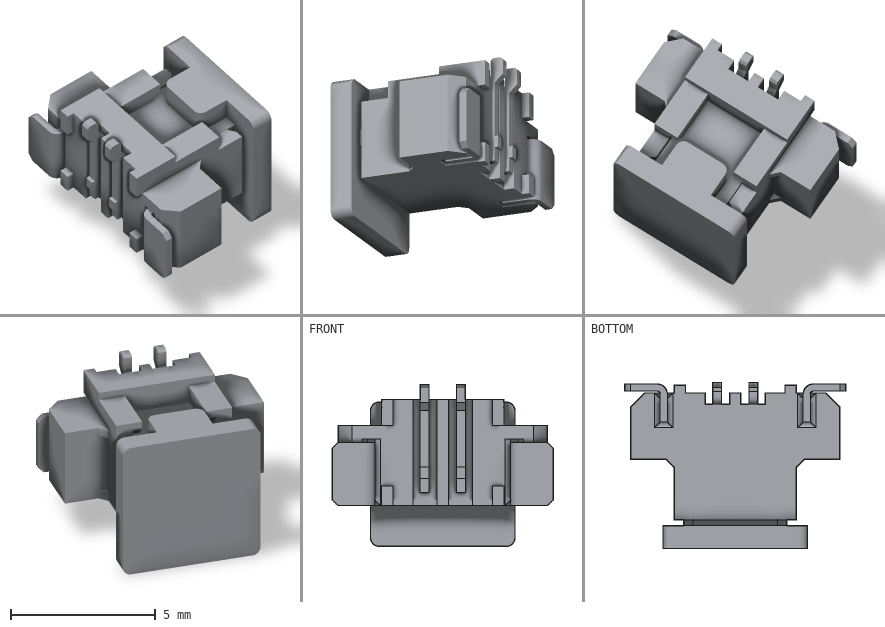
import cadquery as cq


overall_width = 7.65
overall_depth = 5.75

housing_half_width = 2.11
housing_front = 0.37
housing_back = 4.76
wall_top = 2.785
rail_top = 3.4
rail_back = 3.755
rail_inner = 1.16
rail_relief = 0.34
crown_top = 3.68
crown_back = 1.82

foot_width = 0.39
foot_front = 0.1
lower_foot_height = 0.69

slot_centre = 0.61
slot_width = 0.84
slot_back = 0.75

wing_half_width = 3.62
wing_back = 2.66
wing_chamfer = 0.48
gusset_size = 0.29
gusset_height = 0.305

tab_front = 0.05
tab_thickness = 0.25
tab_height = 2.195
tab_chamfer = 0.21
tab_leg_outer = 2.35
tab_bend_radius = 0.35
tab_slot_top = 2.3
tab_slot_flare = 0.19
tab_slot_back = 1.38

contact_centre = 0.63
contact_width = 0.31
contact_top = 4.19
contact_bottom = 0.45
tip_back = 0.47
tip_chamfer = 0.09
tip_underside = 3.57
leg_front = 0.31
leg_bend_bottom = 3.29
leg_bend_depth = 0.2
bump_front = 0.18
bump_bottom = 0.94
bump_top = 1.35

cap_width = 5.0
cap_thickness = 0.795
cap_bottom = -1.41
cap_top = 3.59
cap_radius = 0.3
cap_front = overall_depth - cap_thickness
tongue_half_width = 1.01
plug_half_width = 1.47
plug_bottom = 0.435
plug_top = 2.73
rib_half_width = 1.79
rib_bottom = 1.3
rib_top = 1.89

cavity_clearance = 0.045
cavity_half_width = plug_half_width + cavity_clearance
cavity_bottom = plug_bottom - cavity_clearance
mouth_half_width = 1.81
mouth_depth = 0.2


def box(x0, x1, y0, y1, z0, z1):
    """Box between opposite corners."""
    return cq.Workplane("XY").box(x1 - x0, y1 - y0, z1 - z0, centered=False).translate((x0, y0, z0))


def centred_box(half_width, y0, y1, z0, z1):
    """Box symmetric about X = 0."""
    return box(-half_width, half_width, y0, y1, z0, z1)


def plan_prism(points, z0, z1):
    """Prism with an XY outline."""
    return cq.Workplane("XY").workplane(offset=z0).polyline(points).close().extrude(z1 - z0)


def side_prism(points, x0, x1):
    """Prism along X with a YZ outline."""
    return cq.Workplane("YZ").workplane(offset=x0).polyline(points).close().extrude(x1 - x0)


def both_sides(solid):
    """The solid together with its mirror image across X = 0."""
    return solid.union(solid.mirror("YZ"))


def housing_shell():
    """Stepped housing: low back walls, side rails and a raised front crown."""
    profile = [
        (housing_front, 0),
        (housing_back, 0),
        (housing_back, wall_top),
        (rail_back, wall_top),
        (rail_back, rail_top),
        (crown_back, rail_top),
        (crown_back, crown_top),
        (housing_front, crown_top),
    ]
    return side_prism(profile, -housing_half_width, housing_half_width)


def cavity():
    """Plug cavity with a flared mouth, the gap between the rails and the relief under the rails."""
    plan = [
        (-cavity_half_width, crown_back),
        (cavity_half_width, crown_back),
        (cavity_half_width, housing_back - mouth_depth),
        (mouth_half_width, housing_back),
        (-mouth_half_width, housing_back),
        (-cavity_half_width, housing_back - mouth_depth),
    ]
    relief = [
        (rail_back, wall_top),
        (rail_back - rail_relief, wall_top),
        (rail_back, wall_top + rail_relief),
    ]
    return (
        plan_prism(plan, cavity_bottom, wall_top)
        .union(centred_box(rail_inner, crown_back, rail_back, plug_top, rail_top))
        .union(side_prism(relief, -cavity_half_width, cavity_half_width))
    )


def feet():
    """Full-height upper feet and short lower feet at the front corners."""
    foot_inner = housing_half_width - foot_width
    upper = box(foot_inner, housing_half_width, foot_front, housing_front, wall_top, crown_top)
    lower = box(foot_inner, housing_half_width, foot_front, housing_front, 0, lower_foot_height)
    return both_sides(upper.union(lower))


def wings():
    """Side blocks with a chamfered front corner and two gussets at the back."""
    block = plan_prism(
        [
            (housing_half_width, housing_front),
            (wing_half_width - wing_chamfer, housing_front),
            (wing_half_width, housing_front + wing_chamfer),
            (wing_half_width, wing_back),
            (housing_half_width, wing_back),
        ],
        0,
        wall_top,
    )
    gusset_outline = [
        (housing_half_width, wing_back),
        (housing_half_width + gusset_size, wing_back),
        (housing_half_width, wing_back + gusset_size),
    ]
    for bottom in (0, wall_top - gusset_height):
        block = block.union(plan_prism(gusset_outline, bottom, bottom + gusset_height))
    return both_sides(block)


def contact_slots():
    """Vertical slots in the housing front, one around each contact."""
    inner = slot_centre - slot_width / 2
    return both_sides(box(inner, inner + slot_width, housing_front, slot_back, 0, crown_top))


def tab_slots():
    """Slots for the tab legs, flared along the front and along the bottom."""
    inner = tab_leg_outer
    outer = tab_leg_outer + tab_thickness
    wide_inner = inner - tab_slot_flare
    wide_outer = outer + tab_slot_flare
    front_flare = plan_prism(
        [
            (wide_inner, housing_front),
            (wide_outer, housing_front),
            (outer, housing_front + tab_slot_flare),
            (inner, housing_front + tab_slot_flare),
        ],
        0,
        tab_slot_top,
    )
    bottom_flare = (
        cq.Workplane("XY")
        .polyline(
            [
                (wide_inner, housing_front),
                (wide_outer, housing_front),
                (wide_outer, tab_slot_back + tab_slot_flare),
                (wide_inner, tab_slot_back + tab_slot_flare),
            ]
        )
        .close()
        .workplane(offset=tab_slot_flare)
        .polyline(
            [
                (inner, housing_front),
                (outer, housing_front),
                (outer, tab_slot_back),
                (inner, tab_slot_back),
            ]
        )
        .close()
        .loft(ruled=True)
    )
    core = box(inner, outer, housing_front, tab_slot_back, 0, tab_slot_top)
    return both_sides(core.union(front_flare).union(bottom_flare))


def solder_tabs():
    """Bent tabs: a flat foot across the front and a leg running back into the slot."""
    half_width = overall_width / 2
    leg_inner = tab_leg_outer + tab_thickness
    tab_back = tab_front + tab_thickness
    bend_x = tab_leg_outer + tab_bend_radius
    bend_y = tab_front + tab_bend_radius
    tab = (
        cq.Workplane("XY")
        .moveTo(half_width, tab_front)
        .lineTo(bend_x, tab_front)
        .radiusArc((tab_leg_outer, bend_y), tab_bend_radius)
        .lineTo(tab_leg_outer, tab_slot_back)
        .lineTo(leg_inner, tab_slot_back)
        .lineTo(leg_inner, bend_y)
        .radiusArc((bend_x, tab_back), -(tab_bend_radius - tab_thickness))
        .lineTo(half_width, tab_back)
        .close()
        .extrude(tab_height)
        .edges("|Y and >X")
        .chamfer(tab_chamfer)
    )
    return both_sides(tab)


def contacts():
    """Contacts with a chamfered tip, a leg in the slot and a small bump near the bottom."""
    outline = [
        (0, tip_underside),
        (0, contact_top - tip_chamfer),
        (tip_chamfer, contact_top),
        (tip_back - tip_chamfer, contact_top),
        (tip_back, contact_top - tip_chamfer),
        (tip_back, tip_underside),
        (tip_back + leg_bend_depth, leg_bend_bottom),
        (slot_back, leg_bend_bottom),
        (slot_back, contact_bottom),
        (leg_front, contact_bottom),
        (leg_front, bump_bottom),
        (bump_front, bump_bottom),
        (bump_front, bump_top),
        (leg_front, bump_top),
        (leg_front, leg_bend_bottom),
    ]
    inner = contact_centre - contact_width / 2
    return both_sides(side_prism(outline, inner, inner + contact_width))


def cap():
    """Rounded cap plate, its rounded tongue and the ribbed plug filling the cavity."""
    plate = (
        centred_box(cap_width / 2, cap_front, overall_depth, cap_bottom, cap_top)
        .edges("|Y")
        .fillet(cap_radius)
    )
    tongue = (
        centred_box(tongue_half_width, rail_back, cap_front, plug_top, cap_top)
        .edges("|Z and <Y")
        .fillet(cap_radius)
    )
    plug = centred_box(plug_half_width, crown_back, cap_front, plug_bottom, plug_top)
    ribs = centred_box(rib_half_width, crown_back, cap_front, rib_bottom, rib_top)
    return plate.union(tongue).union(plug).union(ribs)


housing = housing_shell().cut(cavity()).union(feet()).union(wings())
housing = housing.cut(contact_slots()).cut(tab_slots())
result = housing.union(solder_tabs()).union(contacts()).union(cap())